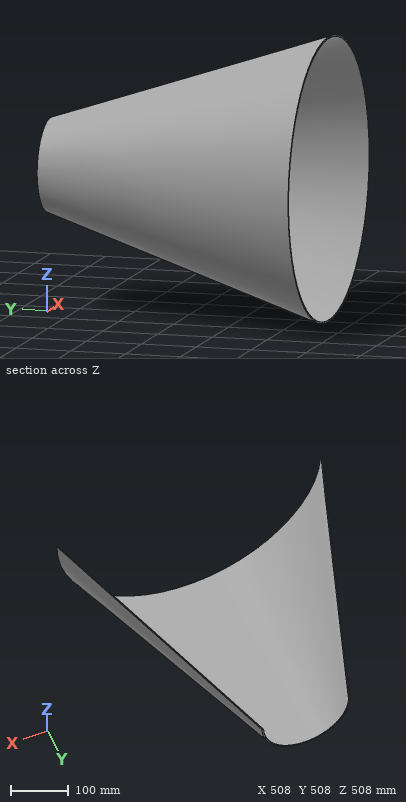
import cadquery as cq

length = 508.0
wide_diameter = 508.0
narrow_diameter = 168.0
wall = 3.0

wide_radius = wide_diameter / 2
narrow_radius = narrow_diameter / 2

wall_section = (
    cq.Workplane("XY")
    .moveTo(wide_radius - wall, 0)
    .lineTo(wide_radius, 0)
    .lineTo(narrow_radius, length)
    .lineTo(narrow_radius - wall, length)
    .close()
)

result = wall_section.revolve(360, (0, 0, 0), (0, 1, 0))